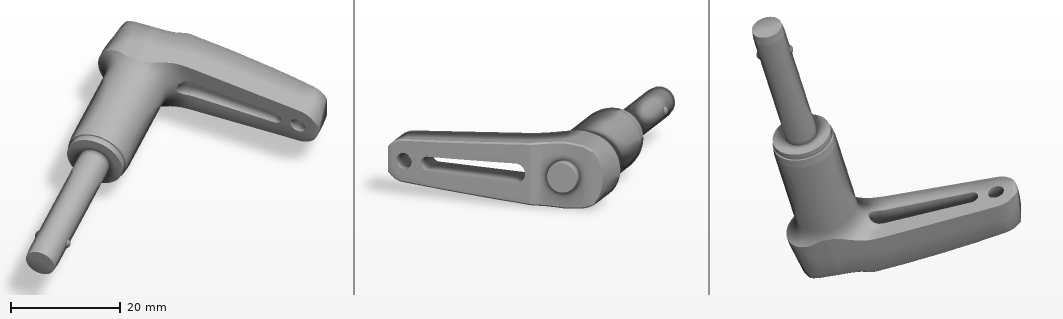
import cadquery as cq
import math

pin_radius = 3.0
pin_tip_y = -26.95
pin_tip_radius = 2.8
pin_tip_length = 1.7
ball_radius = 0.95
ball_offset = 2.5
ball_y = -20.7
button_radius = 2.95
button_top_y = 31.65
button_edge = 0.4
button_edge_inset = 0.1

nose_radius = 5.45
nose_length = 1.25
sleeve_radius = 5.9
sleeve_end_radius = 5.75
sleeve_taper_end_y = 2.8
flare_start_y = 19.05
flare_radius = 4.1

hub_radius = 6.3
heel_radius = 6.1
heel_center_x = -2.35
tip_radius = 4.1
tip_center_x = 31.25
slot_start_x = 9.1
slot_start_radius = 1.8
slot_end_x = 26.55
slot_end_radius = 1.35
hole_x = 31.3
hole_radius = 1.5

heel_top_y = 30.35
heel_top_radius = 7.5
dip_start_x = -5.15
dip_y = 29.8
dip_end_x = 3.8
dip_end_y = 30.25
crest_x = 6.0
crest_y = 31.05
top_bow_x = 19.9
top_bow_y = 30.25
end_top_x = 34.5
end_top_y = 28.5
end_bottom_y = 22.0
end_corner = 0.9
top_edge = 0.3

flare_top_y = flare_start_y + flare_radius
flare_outer_radius = sleeve_radius + flare_radius
heel_x = heel_center_x - heel_radius
tip_x = tip_center_x + tip_radius


def tangent_points(start_x, start_radius, end_x, end_radius):
    """Points where the upper common tangent touches two circles centred on the X axis."""
    angle = math.asin((start_radius - end_radius) / (end_x - start_x))
    return [
        (x + radius * math.sin(angle), radius * math.cos(angle))
        for x, radius in ((start_x, start_radius), (end_x, end_radius))
    ]


def mirrored(point):
    return (point[0], -point[1])


def tapered_slot(start_x, start_radius, end_x, end_radius, plane):
    """Closed outline of two round ends joined by their common tangents."""
    start, end = tangent_points(start_x, start_radius, end_x, end_radius)
    return (
        plane.moveTo(*start)
        .lineTo(*end)
        .threePointArc((end_x + end_radius, 0), mirrored(end))
        .lineTo(*mirrored(start))
        .threePointArc((start_x - start_radius, 0), start)
        .close()
    )


def plan_plane():
    return cq.Workplane("XZ", origin=(0, flare_start_y, 0))


def make_plan():
    """Prism of the lever plan: hub and tip arm, joined to the rounded heel."""
    height = button_top_y - flare_start_y
    arm = tapered_slot(0, hub_radius, tip_center_x, tip_radius, plan_plane()).extrude(-height)
    heel = tapered_slot(heel_center_x, heel_radius, 0, hub_radius, plan_plane()).extrude(-height)
    return arm.union(heel)


def make_lever_blank():
    """Side profile of the lever, as wide as the hub."""
    return (
        cq.Workplane("XY", origin=(0, 0, -hub_radius))
        .moveTo(heel_x, flare_top_y)
        .lineTo(heel_x, heel_top_y)
        .lineTo(dip_start_x, heel_top_y)
        .threePointArc((0, dip_y), (dip_end_x, dip_end_y))
        .lineTo(crest_x, crest_y)
        .threePointArc((top_bow_x, top_bow_y), (end_top_x, end_top_y))
        .lineTo(tip_x, end_bottom_y + end_corner)
        .radiusArc((tip_x - end_corner, end_bottom_y), end_corner)
        .lineTo(flare_outer_radius, flare_top_y)
        .close()
        .extrude(2 * hub_radius)
    )


def make_flare():
    """Concave skirt turned about the pin axis."""
    bend = flare_radius * math.sqrt(0.5)
    middle = (flare_outer_radius - bend, flare_start_y + bend)
    return (
        cq.Workplane("XY")
        .moveTo(0, flare_start_y)
        .lineTo(sleeve_radius, flare_start_y)
        .threePointArc(middle, (flare_outer_radius, flare_top_y))
        .lineTo(0, flare_top_y)
        .close()
        .revolve(360, (0, 0, 0), (0, 1, 0))
    )


def make_heel_cutter():
    """Ring with a conical bore, kept on the heel side only."""
    ring = (
        cq.Workplane("XY")
        .moveTo(-heel_x, flare_top_y)
        .lineTo(heel_top_radius, heel_top_y)
        .lineTo(heel_top_radius, button_top_y)
        .lineTo(-2 * heel_x, button_top_y)
        .lineTo(-2 * heel_x, flare_top_y)
        .close()
        .revolve(360, (0, 0, 0), (0, 1, 0))
    )
    heel_side = cq.Workplane("XY").box(
        -2 * heel_x, 2 * button_top_y, -4 * heel_x
    ).translate((heel_x, button_top_y, 0))
    return ring.intersect(heel_side)


def make_lever():
    plan = make_plan()
    lever = make_lever_blank().intersect(plan)
    top_edges_box = cq.selectors.BoxSelector(
        (dip_start_x, end_top_y - top_edge, -2 * hub_radius),
        (tip_center_x, button_top_y, 2 * hub_radius),
    )
    lever = lever.edges(top_edges_box).edges("not |Y").chamfer(top_edge)
    lever = lever.cut(make_heel_cutter())
    lever = lever.union(make_flare().intersect(plan))
    depth = button_top_y - flare_start_y
    slot = tapered_slot(slot_start_x, slot_start_radius, slot_end_x, slot_end_radius, plan_plane())
    hole = plan_plane().center(hole_x, 0).circle(hole_radius)
    return lever.cut(slot.extrude(-depth)).cut(hole.extrude(-depth))


def make_turned_core():
    """Pin, sleeve and push button turned as one body."""
    return (
        cq.Workplane("XY")
        .moveTo(0, pin_tip_y)
        .lineTo(pin_tip_radius, pin_tip_y)
        .lineTo(pin_radius, pin_tip_y + pin_tip_length)
        .lineTo(pin_radius, 0)
        .lineTo(nose_radius, 0)
        .lineTo(nose_radius, nose_length)
        .lineTo(sleeve_end_radius, nose_length)
        .lineTo(sleeve_radius, sleeve_taper_end_y)
        .lineTo(sleeve_radius, flare_start_y)
        .lineTo(button_radius, flare_start_y)
        .lineTo(button_radius, button_top_y - button_edge)
        .lineTo(button_radius - button_edge_inset, button_top_y)
        .lineTo(0, button_top_y)
        .close()
        .revolve(360, (0, 0, 0), (0, 1, 0))
    )


result = make_turned_core().union(make_lever())
for side in (-1, 1):
    ball = cq.Workplane("XY").sphere(ball_radius).translate((side * ball_offset, ball_y, 0))
    result = result.union(ball)